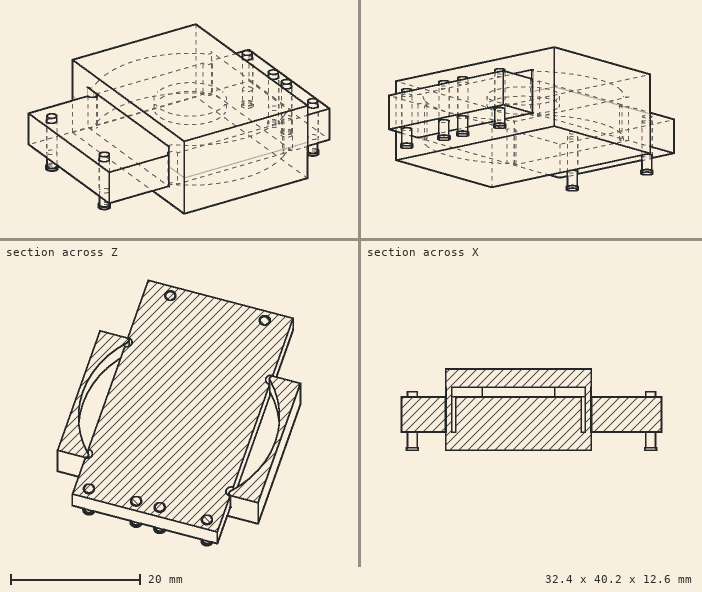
import cadquery as cq
import math


core_length = 32.4
core_depth = 22.5
core_height = 12.61
half_height = core_height / 2
plate_thickness = 2.85
window_half_height = half_height - plate_thickness
opening_width = 23.68
center_leg_radius = 5.62
leg_tip_radius = 0.5

tip_center_x = opening_width / 2
tip_center_y = core_depth / 2 - leg_tip_radius
tip_center_distance = math.hypot(tip_center_x, tip_center_y)
bore_radius = tip_center_distance - leg_tip_radius
tangent_x = tip_center_x * bore_radius / tip_center_distance
tangent_y = tip_center_y * bore_radius / tip_center_distance

board_width = 23.44
board_length = 40.2
board_thickness = 5.41
board_back = 18.1
board_front = board_back - board_length
board_top = plate_thickness + board_thickness
notch_radius = 0.78
notch_x = 11.62
notch_y = 10.48

pin_radius = 0.77
foot_radius = 0.93
foot_height = 0.4
pin_projection = 0.83
pin_top = board_top + pin_projection
pin_inset = 1.7
pin_pitch = 3.81
back_pin_xs = [-2.5 * pin_pitch, -0.5 * pin_pitch, 0.5 * pin_pitch, 2.5 * pin_pitch]
front_pin_xs = [-2 * pin_pitch, 2 * pin_pitch]

hole_radius = 0.81
hole_inset = pin_inset - (hole_radius - pin_radius)


def points_along_edges(inset):
    """Pin places at the given distance from the back and front edges of the board."""
    back_points = [(x, board_back - inset) for x in back_pin_xs]
    front_points = [(x, board_front + inset) for x in front_pin_xs]
    return back_points + front_points


pin_points = points_along_edges(pin_inset)
hole_points = points_along_edges(hole_inset)


def make_window():
    """Clearance between the outer legs, as tall as the window in one core half."""
    half_depth = core_depth / 2
    tip_mid_x = tip_center_x - leg_tip_radius
    return (
        cq.Workplane("XY", origin=(0, 0, plate_thickness))
        .moveTo(-tip_center_x, -half_depth)
        .lineTo(tip_center_x, -half_depth)
        .threePointArc((tip_mid_x, -tip_center_y), (tangent_x, -tangent_y))
        .threePointArc((bore_radius, 0), (tangent_x, tangent_y))
        .threePointArc((tip_mid_x, tip_center_y), (tip_center_x, half_depth))
        .lineTo(-tip_center_x, half_depth)
        .threePointArc((-tip_mid_x, tip_center_y), (-tangent_x, tangent_y))
        .threePointArc((-bore_radius, 0), (-tangent_x, -tangent_y))
        .threePointArc((-tip_mid_x, -tip_center_y), (-tip_center_x, -half_depth))
        .close()
        .extrude(window_half_height)
    )


def make_core_half():
    """Lower core half: a plate, two outer legs and a round centre leg."""
    block = cq.Workplane("XY").box(core_length, core_depth, half_height, centered=(True, True, False))
    center_leg = cq.Workplane("XY").circle(center_leg_radius).extrude(half_height)
    return block.cut(make_window()).union(center_leg)


def make_pin(x, y):
    """Round terminal pin with a wider foot, standing on Z = 0."""
    foot = cq.Workplane("XY").center(x, y).circle(foot_radius).extrude(foot_height)
    shank = cq.Workplane("XY").center(x, y).circle(pin_radius).extrude(pin_top)
    return foot.union(shank)


def make_board():
    """Winding board, notched where the leg tips reach in, with a loose hole for each pin."""
    board = cq.Workplane("XY").box(board_width, board_length, board_thickness, centered=(True, False, False))
    board = board.translate((0, board_front, plate_thickness))
    notches = (
        cq.Workplane("XY")
        .rect(2 * notch_x, 2 * notch_y, forConstruction=True)
        .vertices()
        .circle(notch_radius)
        .extrude(core_height)
    )
    holes = cq.Workplane("XY").pushPoints(hole_points).circle(hole_radius).extrude(core_height)
    return board.cut(notches).cut(holes)


def make_housing():
    """Both core halves and the board as one body; the faces stay divided at the core's parting line."""
    lower_half = make_core_half()
    upper_half = lower_half.mirror("XY").translate((0, 0, core_height))
    return lower_half.union(make_board()).union(upper_half, clean=False)


housing = make_housing()
pins = [make_pin(x, y) for x, y in pin_points]

result = cq.Compound.makeCompound([housing.val()] + [pin.val() for pin in pins])